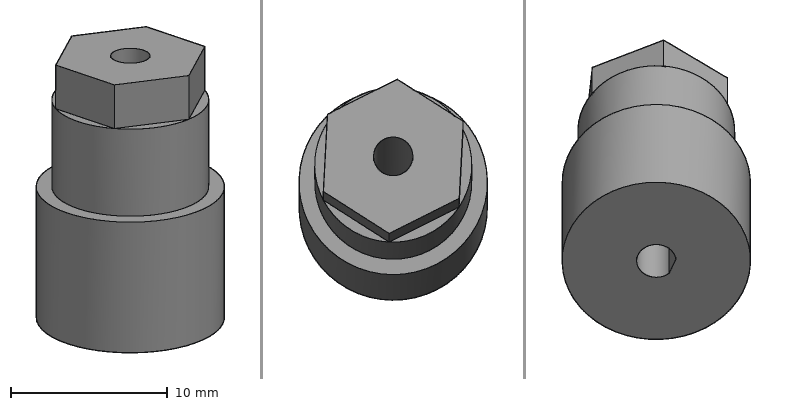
import cadquery as cq

total_height = 18.0
base_diameter = 12.0
base_height = 9.0
neck_diameter = 10.0
neck_top = 15.0
hex_height = total_height - neck_top

hex_corner_diameter = neck_diameter
hex_turn = -16.5

bore_diameter = 2.5
bore_flat_offset = 1.12


def make_body():
    base = cq.Workplane("XY").circle(base_diameter / 2).extrude(base_height)
    neck = cq.Workplane("XY").circle(neck_diameter / 2).extrude(neck_top)
    head = (
        cq.Workplane("XY")
        .workplane(offset=neck_top)
        .polygon(6, hex_corner_diameter)
        .extrude(hex_height)
        .rotate((0, 0, 0), (0, 0, 1), hex_turn)
    )
    return base.union(neck).union(head)


def make_bore():
    round_bore = cq.Workplane("XY").circle(bore_diameter / 2).extrude(total_height)
    beyond_flat = (
        cq.Workplane("XY")
        .center(0, bore_flat_offset + bore_diameter / 2)
        .rect(bore_diameter, bore_diameter)
        .extrude(base_height)
    )
    return round_bore.cut(beyond_flat)


result = make_body().cut(make_bore())